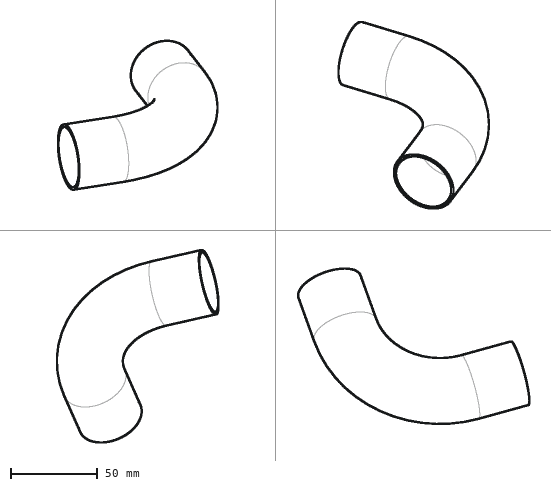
import cadquery as cq

outer_diameter = 38.1
wall = 1.5
inner_diameter = outer_diameter - 2 * wall
bend_radius = 1.5 * outer_diameter
straight_length = 30.0
bend_angle = 90.0


def straight_tube(plane):
    """Straight length of tube, extruded along the normal of the plane."""
    return (
        cq.Workplane(plane)
        .circle(outer_diameter / 2)
        .circle(inner_diameter / 2)
        .extrude(straight_length)
    )


def bend():
    """Quarter torus from the +X axis to the +Y axis."""
    return (
        cq.Workplane("XZ")
        .center(bend_radius, 0)
        .circle(outer_diameter / 2)
        .circle(inner_diameter / 2)
        .revolve(bend_angle, (-bend_radius, 0), (-bend_radius, 1))
    )


left_end = cq.Plane(origin=(0, bend_radius, 0), xDir=(0, 1, 0), normal=(-1, 0, 0))
front_end = cq.Plane(origin=(bend_radius, 0, 0), xDir=(1, 0, 0), normal=(0, -1, 0))

result = bend().union(straight_tube(left_end)).union(straight_tube(front_end))